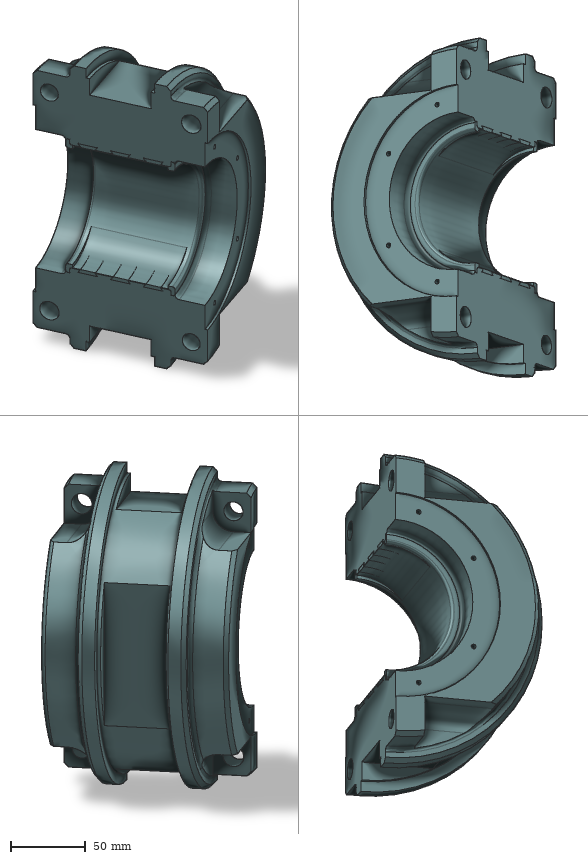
import cadquery as cq
import math


half_length = 64.0
flange_outer_x = 37.0
flange_inner_x = 25.0
flange_radius = 110.0
shoulder_radius = 100.0
core_radius = 102.7
edge_break = 3.0
root_fillet = 3.0

seat_half_width = 22.5
seat_distance = 90.0

end_bore_radius = 54.0
end_bore_floor_x = 40.0
end_bore_fillet = 3.0
recess_radius = 72.5
recess_depth = 2.0

liner_bore_radius = 45.0
liner_bore_fillet = 2.0
liner_radius = 48.0
liner_flange_radius = 52.0
liner_flange_inner_x = 37.2
liner_neck_fillet = 1.5
liner_flange_chamfer = 1.0

rib_count = 3
rib_pitch = 24.0
rib_height = 2.2
rib_top_width = 14.0
rib_root_width = 11.0

relief_half_width = 35.0
relief_radius = 47.5
relief_edge_z = 32.3

bolt_x = 52.0
bolt_z = 85.0
clearance_diameter = 14.0
fitted_diameter = 13.0
notch_radius = 14.0
notch_floor_y = 20.0

face_hole_diameter = 3.0
face_hole_depth = 6.0
face_hole_circle_radius = 63.0
face_hole_angles = (-75, -30, 30, 75)

clear = 22.0


def revolve_half(profile):
    """Turn an XZ profile half a turn about X, through the +Y side."""
    return profile.close().revolve(180, (0, 0, 0), (-1, 0, 0))


def make_blank():
    """Housing and liner together, with the stepped outer shape and the stepped bore."""
    arc_mid = 1 - math.sqrt(0.5)
    root_mid = root_fillet * arc_mid
    bore_mid = end_bore_fillet * arc_mid
    lip_mid = liner_bore_fillet * arc_mid
    half = (
        cq.Workplane("XZ")
        .moveTo(0, core_radius)
        .lineTo(flange_inner_x, core_radius)
        .lineTo(flange_inner_x, flange_radius)
        .lineTo(flange_outer_x - edge_break, flange_radius)
        .lineTo(flange_outer_x, flange_radius - edge_break)
        .lineTo(flange_outer_x, shoulder_radius + root_fillet)
        .threePointArc(
            (flange_outer_x + root_mid, shoulder_radius + root_mid),
            (flange_outer_x + root_fillet, shoulder_radius),
        )
        .lineTo(half_length - edge_break, shoulder_radius)
        .lineTo(half_length, shoulder_radius - edge_break)
        .lineTo(half_length, recess_radius)
        .lineTo(half_length - recess_depth, recess_radius)
        .lineTo(half_length - recess_depth, end_bore_radius)
        .lineTo(end_bore_floor_x + end_bore_fillet, end_bore_radius)
        .threePointArc(
            (end_bore_floor_x + bore_mid, end_bore_radius - bore_mid),
            (end_bore_floor_x, end_bore_radius - end_bore_fillet),
        )
        .lineTo(end_bore_floor_x, liner_bore_radius + liner_bore_fillet)
        .threePointArc(
            (end_bore_floor_x - lip_mid, liner_bore_radius + lip_mid),
            (end_bore_floor_x - liner_bore_fillet, liner_bore_radius),
        )
        .lineTo(0, liner_bore_radius)
    )
    right_half = revolve_half(half)
    return right_half.union(right_half.mirror("YZ"))


def make_rib(center_x):
    """Dovetail ring, wider at its top than at the liner surface."""
    profile = (
        cq.Workplane("XZ")
        .moveTo(center_x - rib_root_width / 2, liner_bore_radius)
        .lineTo(center_x - rib_root_width / 2, liner_radius)
        .lineTo(center_x - rib_top_width / 2, liner_radius + rib_height)
        .lineTo(center_x + rib_top_width / 2, liner_radius + rib_height)
        .lineTo(center_x + rib_root_width / 2, liner_radius)
        .lineTo(center_x + rib_root_width / 2, liner_bore_radius)
    )
    return revolve_half(profile)


def make_liner_space():
    """Solid half cylinder with end flanges and ribs, the outer envelope of the liner."""
    fillet_mid = liner_neck_fillet * (1 - math.sqrt(0.5))
    half = (
        cq.Workplane("XZ")
        .lineTo(0, liner_radius)
        .lineTo(liner_flange_inner_x - liner_neck_fillet, liner_radius)
        .threePointArc(
            (liner_flange_inner_x - fillet_mid, liner_radius + fillet_mid),
            (liner_flange_inner_x, liner_radius + liner_neck_fillet),
        )
        .lineTo(liner_flange_inner_x, liner_flange_radius)
        .lineTo(end_bore_floor_x - liner_flange_chamfer, liner_flange_radius)
        .lineTo(end_bore_floor_x, liner_flange_radius - liner_flange_chamfer)
        .lineTo(end_bore_floor_x, 0)
    )
    right_half = revolve_half(half)
    space = right_half.union(right_half.mirror("YZ"))
    for index in range(rib_count):
        space = space.union(make_rib((index - (rib_count - 1) / 2) * rib_pitch))
    return space


def make_seat_cutter():
    """Everything outside a square block, between the flanges."""
    outside_size = 2 * flange_radius + clear
    outside = cq.Workplane("XY").box(2 * seat_half_width, outside_size, outside_size)
    block = cq.Workplane("XY").box(2 * seat_half_width, 2 * seat_distance, 2 * seat_distance)
    return outside.cut(block)


def make_notch_cutter(side_x, side_z):
    """Round-bottomed notch behind a bolt hole, open outward along X and Z."""
    run_out_x = half_length + clear
    run_out_z = flange_radius + clear
    arc_mid = notch_radius * math.sqrt(0.5)
    return (
        cq.Workplane("XZ", origin=(0, notch_floor_y, 0))
        .moveTo(side_x * run_out_x, side_z * (bolt_z - notch_radius))
        .lineTo(side_x * bolt_x, side_z * (bolt_z - notch_radius))
        .threePointArc(
            (side_x * (bolt_x - arc_mid), side_z * (bolt_z - arc_mid)),
            (side_x * (bolt_x - notch_radius), side_z * bolt_z),
        )
        .lineTo(side_x * (bolt_x - notch_radius), side_z * run_out_z)
        .lineTo(side_x * run_out_x, side_z * run_out_z)
        .close()
        .extrude(-flange_radius)
    )


def make_bolt_hole(side_x, side_z):
    """Hole from the split face to the notch; the two diameters sit on opposite diagonals."""
    diameter = clearance_diameter if side_x == side_z else fitted_diameter
    return (
        cq.Workplane("XZ", origin=(side_x * bolt_x, 0, side_z * bolt_z))
        .circle(diameter / 2)
        .extrude(-(notch_floor_y + clear))
    )


def make_face_holes():
    """Small blind holes along X in both recessed end faces."""
    recess_x = half_length - recess_depth
    points = [
        (
            face_hole_circle_radius * math.cos(math.radians(angle)),
            face_hole_circle_radius * math.sin(math.radians(angle)),
        )
        for angle in face_hole_angles
    ]
    holes = (
        cq.Workplane("YZ", origin=(recess_x - face_hole_depth, 0, 0))
        .pushPoints(points)
        .circle(face_hole_diameter / 2)
        .extrude(face_hole_depth)
    )
    return holes.union(holes.mirror("YZ"))


def make_relief_cutter(side_z):
    """Cylinder parallel to X, centred on the split face, that cuts the bore only beside that face."""
    offset = (relief_radius**2 - liner_bore_radius**2) / (2 * (relief_radius - relief_edge_z))
    return (
        cq.Workplane("YZ", origin=(-relief_half_width, 0, side_z * offset))
        .circle(relief_radius - offset)
        .extrude(2 * relief_half_width)
    )


def make_housing(blank, liner_space):
    """Part of the blank outside the liner, with its seat, notches and holes."""
    body = blank.cut(liner_space).cut(make_seat_cutter()).cut(make_face_holes())
    for side_x in (-1, 1):
        for side_z in (-1, 1):
            body = body.cut(make_notch_cutter(side_x, side_z))
            body = body.cut(make_bolt_hole(side_x, side_z))
    return body


def make_liner(blank, liner_space):
    """Part of the blank inside the liner envelope, relieved next to the split face."""
    body = blank.intersect(liner_space)
    for side_z in (-1, 1):
        body = body.cut(make_relief_cutter(side_z))
    return body


blank = make_blank()
liner_space = make_liner_space()
housing = make_housing(blank, liner_space)
liner = make_liner(blank, liner_space)

result = cq.Compound.makeCompound([housing.solids().val(), liner.solids().val()])